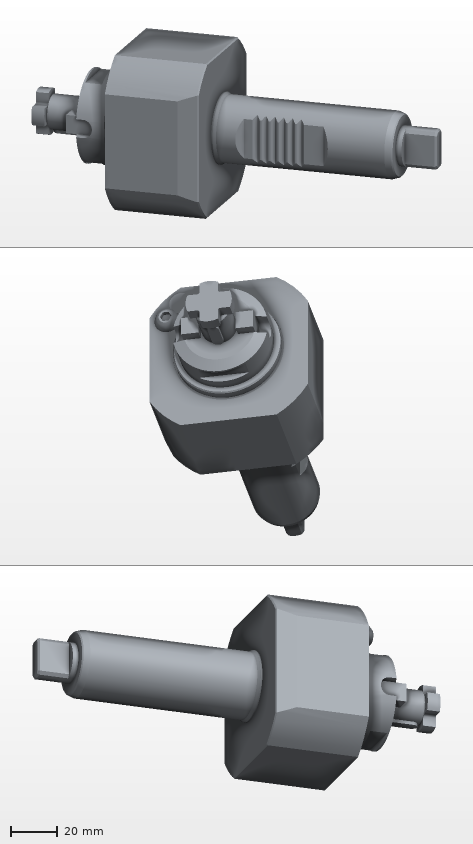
import cadquery as cq
import math


TIP_LENGTH = 5.9
COLLAR_START = 22.5
FLANGE_START = 37.5
HOUSING_START = 41.9
HOUSING_END = 84.0
SHANK_END = 166.2
TANG_START = 168.7
TOTAL_LENGTH = 183

TIP_RADIUS = 10.2
TIP_ARM_WIDTH = 8.2
TIP_CORNER_FILLET = 1.0
STEM_RADIUS = 7.9
STEM_CHAMFER = 0.5
FEATHER_KEY_START = 7.1
FEATHER_KEY_LENGTH = 14.6
FEATHER_KEY_WIDTH = 5.0
FEATHER_KEY_TOP = 9.0

COLLAR_RADIUS = 21.0
COLLAR_FACE_RADIUS = 16.0
COLLAR_CONE_LENGTH = 1.5
DOG_START = 17.8
DOG_INNER_DISTANCE = 8.2
DOG_SLOT_END = 31.3
WRENCH_FLAT_START = 24.9
WRENCH_FLAT_LENGTH = 7.7
WRENCH_FLAT_DISTANCE = 18.0

FLANGE_RADIUS = 23.8
FLANGE_CHAMFER = 0.5
RECESS_RADIUS = 24.5
RECESS_DEPTH = 0.5

HOUSING_SIDE = 70.0
HOUSING_CORNER_RADIUS = 41.0
HOUSING_END_CHAMFER = 0.5
TAPER_LENGTH = 9.0
TAPER_DEPTH = 2.0

SCREW_Y = 27.0
SCREW_Z = 18.8
SCREW_HEAD_HEIGHT = 3.8
SCREW_BASE_RADIUS = 5.7
SCREW_FACE_RADIUS = 3.1
SCREW_DOME_BULGE = 0.4
SOCKET_FLATS = 4.4
SOCKET_DEPTH = 2.2
PIN_Y = 20.7
PIN_Z = 25.8
PIN_HEIGHT = 2.2
PIN_FACE_RADIUS = 5.1

SHANK_RADIUS = 15.0
SHANK_COLLAR_RADIUS = 16.0
SHANK_COLLAR_LENGTH = 0.7
SHANK_CONE_LENGTH = 1.3
SHANK_LEAD_LENGTH = 3.3
SHANK_LEAD_RADIUS = 14.0
SHANK_END_CHAMFER = 0.5
CLAMP_FLAT_DISTANCE = 12.0
CLAMP_FLAT_START = 97.7
CLAMP_FLAT_END = 134.1
GROOVE_COUNT = 6
GROOVE_FIRST = 103.4
GROOVE_PITCH = 4.0
GROOVE_DEPTH = 1.6

TANG_RADIUS = 9.0
TANG_THICKNESS = 8.0
TANG_FLAT_HEIGHT = 13.9
TANG_EDGE_THICKNESS = 5.9
TANG_END_CHAMFER = 1.0


def revolved(profile):
    """Turn (x, radius) points, closed by the X axis, around the X axis."""
    points = [(profile[0][0], 0)] + profile + [(profile[-1][0], 0)]
    return cq.Workplane("XY").polyline(points).close().revolve(360, (0, 0, 0), (1, 0, 0))


def cylinder(start, end, radius):
    return revolved([(start, radius), (end, radius)])


def box(start, end, width, height):
    """Block between two X stations, centred on the X axis."""
    return cq.Workplane("XY").box(end - start, width, height).translate(((start + end) / 2, 0, 0))


def make_driver():
    arm_length = 2 * TIP_RADIUS
    cross = box(0, TIP_LENGTH, TIP_ARM_WIDTH, arm_length).union(
        box(0, TIP_LENGTH, arm_length, TIP_ARM_WIDTH)
    )
    reach = TIP_ARM_WIDTH / 2 + TIP_CORNER_FILLET
    inner_corners = cq.selectors.BoxSelector((0, -reach, -reach), (TIP_LENGTH, reach, reach))
    tip = cross.edges("|X").edges(inner_corners).fillet(TIP_CORNER_FILLET)
    tip = tip.intersect(cylinder(0, TIP_LENGTH, TIP_RADIUS))

    stem = revolved([
        (TIP_LENGTH, STEM_RADIUS - STEM_CHAMFER),
        (TIP_LENGTH + STEM_CHAMFER, STEM_RADIUS),
        (COLLAR_START, STEM_RADIUS),
    ])
    feather_key = (
        cq.Workplane("XY", origin=(FEATHER_KEY_START + FEATHER_KEY_LENGTH / 2, 0, 0))
        .slot2D(FEATHER_KEY_LENGTH, FEATHER_KEY_WIDTH)
        .extrude(-FEATHER_KEY_TOP)
    )
    return tip.union(stem).union(feather_key)


def make_collar():
    collar = revolved([
        (COLLAR_START, COLLAR_FACE_RADIUS),
        (COLLAR_START + COLLAR_CONE_LENGTH, COLLAR_RADIUS),
        (FLANGE_START, COLLAR_RADIUS),
    ])
    flange = cylinder(FLANGE_START, HOUSING_START, FLANGE_RADIUS).faces("<X or >X").chamfer(FLANGE_CHAMFER)

    slot_length = DOG_SLOT_END - DOG_START
    slot_depth = COLLAR_RADIUS - COLLAR_FACE_RADIUS
    slot = (
        cq.Workplane("XZ", origin=(DOG_SLOT_END - slot_length / 2, -COLLAR_FACE_RADIUS, 0))
        .slot2D(slot_length, TIP_ARM_WIDTH)
        .extrude(slot_depth)
    )
    collar = collar.cut(slot).cut(slot.mirror("XZ"))

    flats_end = WRENCH_FLAT_START + WRENCH_FLAT_LENGTH
    flat_ring = cylinder(WRENCH_FLAT_START, flats_end, COLLAR_RADIUS).cut(
        box(WRENCH_FLAT_START, flats_end, 2 * COLLAR_RADIUS, 2 * WRENCH_FLAT_DISTANCE)
    )
    dogs = box(DOG_START, DOG_SLOT_END, 2 * COLLAR_FACE_RADIUS, TIP_ARM_WIDTH).cut(
        box(DOG_START, COLLAR_START, 2 * DOG_INNER_DISTANCE, TIP_ARM_WIDTH)
    )
    return collar.cut(flat_ring).union(flange).union(dogs)


def make_housing():
    half = HOUSING_SIDE / 2
    taper_start = HOUSING_END - TAPER_LENGTH
    block = (
        cq.Workplane("XY")
        .moveTo(HOUSING_START, -half)
        .lineTo(taper_start, -half)
        .lineTo(HOUSING_END, -half + TAPER_DEPTH)
        .lineTo(HOUSING_END, half - TAPER_DEPTH)
        .lineTo(taper_start, half)
        .lineTo(HOUSING_START, half)
        .close()
        .extrude(half, both=True)
    )
    block = block.intersect(cylinder(HOUSING_START, HOUSING_END, HOUSING_CORNER_RADIUS))
    block = block.faces(">X").chamfer(HOUSING_END_CHAMFER)

    recess_end = HOUSING_START + RECESS_DEPTH
    recess = cylinder(HOUSING_START, recess_end, RECESS_RADIUS).cut(
        cylinder(HOUSING_START, recess_end, FLANGE_RADIUS - FLANGE_CHAMFER)
    )
    return block.cut(recess)


def make_screw():
    head_face = HOUSING_START - SCREW_HEAD_HEIGHT
    mid_x = (head_face + HOUSING_START) / 2
    mid_radius = (SCREW_FACE_RADIUS + SCREW_BASE_RADIUS) / 2
    head = (
        cq.Workplane("XY")
        .moveTo(head_face, 0)
        .lineTo(head_face, SCREW_FACE_RADIUS)
        .threePointArc(
            (mid_x - SCREW_DOME_BULGE, mid_radius + SCREW_DOME_BULGE), (HOUSING_START, SCREW_BASE_RADIUS)
        )
        .lineTo(HOUSING_START, 0)
        .close()
        .revolve(360, (0, 0, 0), (1, 0, 0))
    )
    socket = (
        cq.Workplane("YZ", origin=(head_face, 0, 0))
        .polygon(6, SOCKET_FLATS / math.cos(math.pi / 6))
        .extrude(SOCKET_DEPTH)
    )
    return head.cut(socket).translate((0, SCREW_Y, SCREW_Z))


def make_pin():
    pin = revolved([
        (HOUSING_START - PIN_HEIGHT, PIN_FACE_RADIUS),
        (HOUSING_START, PIN_FACE_RADIUS - PIN_HEIGHT),
    ])
    return pin.translate((0, PIN_Y, PIN_Z))


def make_shank():
    collar_end = HOUSING_END + SHANK_COLLAR_LENGTH
    shank = revolved([
        (HOUSING_END, SHANK_COLLAR_RADIUS),
        (collar_end, SHANK_COLLAR_RADIUS),
        (collar_end + SHANK_CONE_LENGTH, SHANK_RADIUS),
        (SHANK_END - SHANK_LEAD_LENGTH, SHANK_RADIUS),
        (SHANK_END - SHANK_END_CHAMFER, SHANK_LEAD_RADIUS),
        (SHANK_END, SHANK_LEAD_RADIUS - SHANK_END_CHAMFER),
    ])

    flat_depth = SHANK_RADIUS - CLAMP_FLAT_DISTANCE
    clamp_flat = (
        cq.Workplane("XY")
        .moveTo(CLAMP_FLAT_START - flat_depth, -SHANK_RADIUS)
        .lineTo(CLAMP_FLAT_START, -CLAMP_FLAT_DISTANCE)
        .lineTo(CLAMP_FLAT_END, -CLAMP_FLAT_DISTANCE)
        .lineTo(CLAMP_FLAT_END + flat_depth, -SHANK_RADIUS)
        .close()
        .extrude(SHANK_RADIUS, both=True)
    )
    shank = shank.cut(clamp_flat)

    for index in range(GROOVE_COUNT):
        center = GROOVE_FIRST + index * GROOVE_PITCH
        groove = (
            cq.Workplane("XY")
            .moveTo(center - GROOVE_DEPTH, -CLAMP_FLAT_DISTANCE)
            .lineTo(center, -CLAMP_FLAT_DISTANCE + GROOVE_DEPTH)
            .lineTo(center + GROOVE_DEPTH, -CLAMP_FLAT_DISTANCE)
            .close()
            .extrude(SHANK_RADIUS, both=True)
        )
        shank = shank.cut(groove)
    return shank


def make_tang():
    base = cylinder(SHANK_END, TANG_START, TANG_RADIUS)
    half_thickness = TANG_THICKNESS / 2
    half_edge = TANG_EDGE_THICKNESS / 2
    half_flat = TANG_FLAT_HEIGHT / 2
    edge_height = math.sqrt(TANG_RADIUS**2 - half_edge**2)

    blade = (
        cq.Workplane("YZ", origin=(TANG_START, 0, 0))
        .moveTo(half_thickness, -half_flat)
        .lineTo(half_thickness, half_flat)
        .lineTo(half_edge, edge_height)
        .threePointArc((0, TANG_RADIUS), (-half_edge, edge_height))
        .lineTo(-half_thickness, half_flat)
        .lineTo(-half_thickness, -half_flat)
        .lineTo(-half_edge, -edge_height)
        .threePointArc((0, -TANG_RADIUS), (half_edge, -edge_height))
        .close()
        .extrude(TOTAL_LENGTH - TANG_START)
        .faces(">X")
        .chamfer(TANG_END_CHAMFER)
    )
    return base.union(blade)


result = (
    make_driver()
    .union(make_collar())
    .union(make_housing())
    .union(make_screw())
    .union(make_pin())
    .union(make_shank())
    .union(make_tang())
)